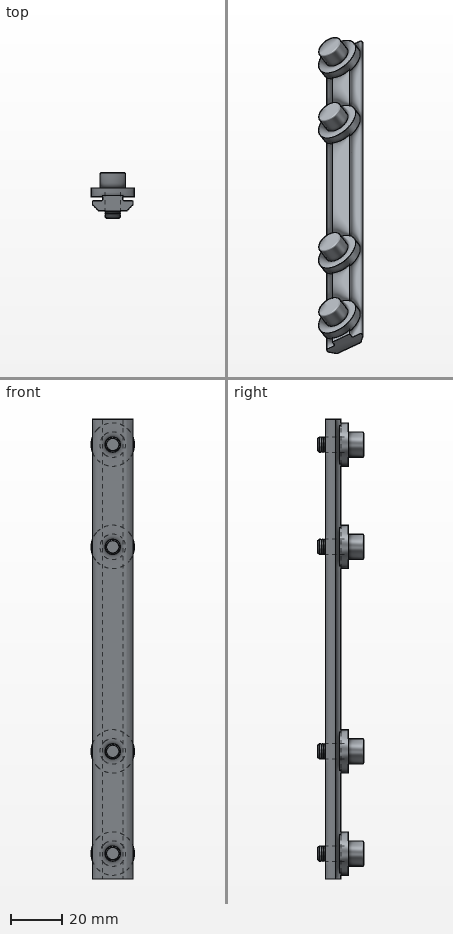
import cadquery as cq

rail_length = 180.0
rail_width = 16.0
neck_width = 8.0
neck_height = 2.0
lip_side_height = 1.5
lip_bevel = 2.5
rail_corner_radius = 0.5
rail_height = neck_height + lip_side_height + lip_bevel

washer_diameter = 17.0
washer_thickness = 3.5
groove_depth = 0.5

thread_diameter = 6.0
shank_length = 12.0
shank_end_chamfer = 0.6
thread_pitch = 1.0
exposed_thread_turns = 2
thread_depth = 0.1
head_diameter = 10.0
head_height = 6.0
head_edge_fillet = 0.6

inner_offset = 40.0
outer_offset = 80.0
fastener_heights = [-outer_offset, -inner_offset, inner_offset, outer_offset]

rail_front = 0.0
lip_back = rail_front + lip_bevel + lip_side_height
neck_back = rail_front + rail_height
washer_front = neck_back - groove_depth
washer_back = washer_front + washer_thickness
head_back = washer_back + head_height
shank_front = washer_back - shank_length


def rod(diameter, y_start, y_end, z):
    """Cylinder along Y from y_start to y_end at height z."""
    return (
        cq.Workplane("XZ", origin=(0, y_start, z))
        .circle(diameter / 2)
        .extrude(y_start - y_end)
    )


def make_rail():
    """T-shaped rail with bevelled front edges and a through hole for every screw."""
    half_front = rail_width / 2 - lip_bevel
    half_lip = rail_width / 2
    half_neck = neck_width / 2
    half_outline = [
        (half_front, rail_front),
        (half_lip, rail_front + lip_bevel),
        (half_lip, lip_back),
        (half_neck, lip_back),
        (half_neck, neck_back),
    ]
    mirrored_half = [(-x, y) for x, y in reversed(half_outline)]
    rail = (
        cq.Workplane("XY", origin=(0, 0, -rail_length / 2))
        .polyline(half_outline + mirrored_half)
        .close()
        .extrude(rail_length)
    )
    rounded_corners = half_outline[:-1] + mirrored_half[1:]
    for x, y in rounded_corners:
        corner_edge = cq.selectors.NearestToPointSelector((x, y, 0))
        rail = rail.edges("|Z").edges(corner_edge).fillet(rail_corner_radius)
    for z in fastener_heights:
        rail = rail.cut(rod(thread_diameter, rail_front, neck_back, z))
    return rail


def make_washer(z):
    """Round washer with a groove along Z that sits over the rail neck."""
    washer = rod(washer_diameter, washer_front, washer_back, z)
    groove = cq.Workplane("XY").box(
        neck_width, groove_depth, washer_diameter, centered=(True, False, True)
    )
    washer = washer.cut(groove.translate((0, washer_front, z)))
    return washer.cut(rod(thread_diameter, washer_front, washer_back, z))


def make_thread_groove(y, z):
    """Ring with a triangular section that cuts one V-shaped thread groove centred at y."""
    outer_radius = thread_diameter / 2
    groove_section = [
        (outer_radius, y - thread_pitch / 2),
        (outer_radius - thread_depth, y),
        (outer_radius, y + thread_pitch / 2),
    ]
    ring = cq.Workplane("XY").polyline(groove_section).close().revolve(360, (0, 0), (0, 1))
    return ring.translate((0, 0, z))


def make_screw(z):
    """Screw with a cylindrical head behind the washer and its tip in front of the rail."""
    head = rod(head_diameter, washer_back, head_back, z).faces(">Y").edges().fillet(head_edge_fillet)
    shank = rod(thread_diameter, shank_front, washer_back, z).faces("<Y").chamfer(shank_end_chamfer)
    for turn in range(exposed_thread_turns):
        groove_y = rail_front - (turn + 1 / 2) * thread_pitch
        shank = shank.cut(make_thread_groove(groove_y, z))
    return head.union(shank)


rail = make_rail()
washers = [make_washer(z) for z in fastener_heights]
screws = [make_screw(z) for z in fastener_heights]

bodies = [rail, *washers, *screws]
result = cq.Compound.makeCompound([body.val() for body in bodies])